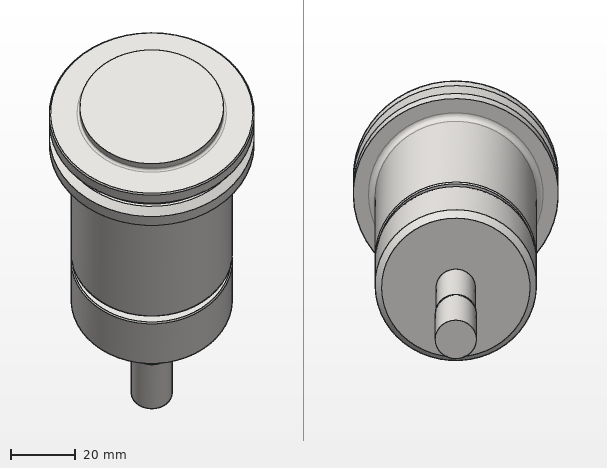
import cadquery as cq
import math

total_height = 145.0
tip_length = 22.3
pin_length = 22.8
base_height = 22.6
neck_height = 3.0
collar_height = 15.8
cap_height = 3.2
collar_bottom = total_height - cap_height - collar_height

tip_diameter = 12.8
pin_diameter = 12.2
body_diameter = 50.0
neck_diameter = 40.0
collar_diameter = 63.5
groove_diameter = 56.3
cap_diameter = 44.5

rim_height = 4.5
groove_floor_height = 3.6
flank_height = (collar_height - 2 * rim_height - groove_floor_height) / 2
flank_angle = math.radians(30)
flank_width = flank_height / math.tan(flank_angle)

base_chamfer = 2.0
fine_chamfer = 0.5
collar_fillet = 2.0
cap_fillet = 0.9


def cylinder(diameter, bottom, height):
    """Solid cylinder about Z, starting at the height `bottom`."""
    return cq.Workplane("XY").workplane(offset=bottom).circle(diameter / 2).extrude(height)


def root_fillet(diameter, root_z, radius, direction):
    """Concave ring filling the corner between a shaft and a flat face at root_z.

    The ring lies above the face for direction 1 and below it for direction -1.
    """
    inner = diameter / 2
    shaft_z = root_z + direction * radius
    arc_offset = radius * (1 - math.sqrt(0.5))
    return (
        cq.Workplane("XZ")
        .moveTo(0, root_z)
        .lineTo(inner + radius, root_z)
        .threePointArc((inner + arc_offset, root_z + direction * arc_offset), (inner, shaft_z))
        .lineTo(0, shaft_z)
        .close()
        .revolve(360, (0, 0, 0), (0, 1, 0))
    )


def grooved_collar():
    """Collar with a tapered groove between two equal rims."""
    rim = collar_diameter / 2
    floor = groove_diameter / 2
    bottom = collar_bottom
    top = bottom + collar_height
    lower_rim_top = bottom + rim_height
    upper_rim_bottom = top - rim_height
    profile = [
        (0, bottom),
        (rim, bottom),
        (rim, lower_rim_top),
        (rim - flank_width, lower_rim_top + flank_height),
        (floor, lower_rim_top + flank_height),
        (floor, upper_rim_bottom - flank_height),
        (rim - flank_width, upper_rim_bottom - flank_height),
        (rim, upper_rim_bottom),
        (rim, top),
        (0, top),
    ]
    collar = cq.Workplane("XZ").polyline(profile).close().revolve(360, (0, 0, 0), (0, 1, 0))
    return collar.faces(">Z").edges().chamfer(fine_chamfer)


tip = cylinder(tip_diameter, 0, tip_length)
pin = cylinder(pin_diameter, tip_length, pin_length)

base_bottom = tip_length + pin_length
base = cylinder(body_diameter, base_bottom, base_height)
base = base.faces("<Z").edges().chamfer(base_chamfer)
base = base.faces(">Z").edges().chamfer(fine_chamfer)
neck_bottom = base_bottom + base_height
neck = cylinder(neck_diameter, neck_bottom, neck_height)
body_bottom = neck_bottom + neck_height
body = cylinder(body_diameter, body_bottom, collar_bottom - body_bottom)
body = body.faces("<Z").edges().chamfer(fine_chamfer)

collar = grooved_collar()
collar_top = collar_bottom + collar_height
cap = cylinder(cap_diameter, collar_top, cap_height)
body_root = root_fillet(body_diameter, collar_bottom, collar_fillet, -1)
cap_root = root_fillet(cap_diameter, collar_top, cap_fillet, 1)

result = tip
for section in (pin, base, neck, body, body_root, collar, cap_root, cap):
    result = result.union(section)